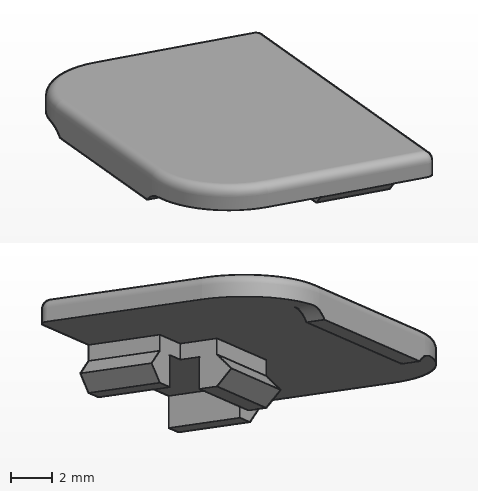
import cadquery as cq

width = 18.6
depth = 13.3
plate_thickness = 1.2
front_corner_radius = 4.17
edge_radius = 0.5

lip_bottom = -1.71
lip_depth = 1.0
lip_half_width = 4.63
lip_runout = 1.13

pad_half_width = 4.39
pad_length = 6.03
pad_bottom = -2.0
hook_bottom = -3.6
hook_thickness = 0.99
hook_reach = 0.8
side_hook_length = 3.98
front_hook_width = 4.8

plate_bottom = -plate_thickness
pad_front = depth - pad_length


def plate_blank(height):
    """Plate outline with its four rounded corners, extruded down from the top face."""
    blank = cq.Workplane("XY").rect(width, depth).extrude(-height).translate((0, depth / 2, 0))
    blank = blank.edges("|Z and <Y").fillet(front_corner_radius)
    return blank.edges("|Z and >Y").fillet(edge_radius)


def front_lip():
    """Lip whose end arcs are tangent to the underside of the plate."""
    drop = plate_bottom - lip_bottom
    arc_radius = (lip_runout**2 + drop**2) / (2 * drop)
    runout_end = lip_half_width + lip_runout
    lip = (
        cq.Workplane("XZ")
        .moveTo(-runout_end, plate_bottom)
        .radiusArc((-lip_half_width, lip_bottom), arc_radius)
        .lineTo(lip_half_width, lip_bottom)
        .radiusArc((runout_end, plate_bottom), arc_radius)
        .close()
        .extrude(-lip_depth)
    )
    return lip.intersect(plate_blank(-lip_bottom))


def pad_block(block_width, block_length):
    """Block under the plate, its front end block_length ahead of the rear edge."""
    block = cq.Workplane("XY").box(
        block_width, block_length, plate_bottom - pad_bottom, centered=(True, False, False)
    )
    return block.translate((0, depth - block_length, pad_bottom))


def mounting_pad():
    """T-shaped pad: wide across the side hooks, narrow out to the front hook."""
    wide_block = pad_block(2 * pad_half_width, side_hook_length)
    return wide_block.union(pad_block(front_hook_width, pad_length))


def snap_hook(length):
    """Hook along Y, centred on Y = 0, pointing to +X from an outer face at X = 0."""
    tip_height = (pad_bottom + hook_bottom) / 2
    outline = [
        (-hook_thickness, pad_bottom),
        (0, pad_bottom),
        (hook_reach, tip_height),
        (0, hook_bottom),
        (-hook_thickness, hook_bottom),
    ]
    return cq.Workplane("XZ").polyline(outline).close().extrude(length / 2, both=True)


plate = plate_blank(plate_thickness).faces(">Z").edges().fillet(edge_radius)

right_hook = snap_hook(side_hook_length).translate((pad_half_width, depth - side_hook_length / 2, 0))
left_hook = right_hook.mirror("YZ")
front_hook = snap_hook(front_hook_width).rotate((0, 0, 0), (0, 0, 1), -90).translate((0, pad_front, 0))

result = plate.union(front_lip()).union(mounting_pad())
for hook in (right_hook, left_hook, front_hook):
    result = result.union(hook)